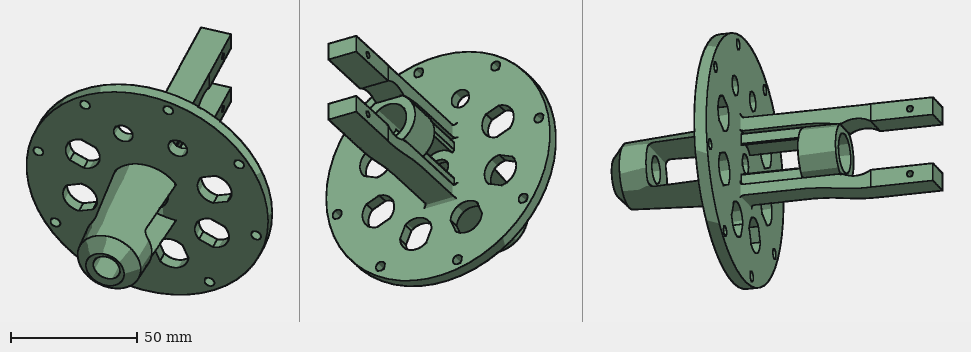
import cadquery as cq
import math


plate_diameter = 101.6
plate_thickness = 5.0
plate_front = -plate_thickness
rim_hole_count = 8
rim_hole_diameter = 4.1
rim_hole_radius = 46.6
rim_hole_start = 34.1
inner_hole_count = 8
inner_hole_radius = 30.0
inner_hole_start = 19.7
round_hole_diameter = 8.0
round_hole_places = (1, 2)
flatted_hole_diameter = 14.3
flatted_hole_width = 12.9
flat_turn = 3.0

axis_x = -0.7
axis_z = -1.26

nose_tip = -53.1
nose_base_radius = 15.8
nose_end_radius = 13.3
nose_tip_radius = 16.1 / 2
nose_chamfer_length = 4.9
nose_bore_diameter = 11.2
window_height = 18.6
window_end = -36.9
window_corner_radius = 2.5
bowl_floor_radius = 8.6
bowl_depth = plate_thickness / 2
centre_hole_diameter = 8.0

holder_diameter = 24.0
holder_bore = 16.1
holder_end = 41.2
ring_length = 15.7
rail_gap = 11.2
rail_chamfer = 1.0

arm_x = -1.2
tail_width = 12.6
tail_height = 7.3
tail_gap = 20.5
arm_end = 79.7
tail_length = 25.9
arm_relief = 0.07
relief_length = 2.4
bend_end = 26.5
upper_bottom_rise = 1.7
lower_top_rise = 1.2
lower_bottom_rise = 2.4
notch_diameter = 24.0
notch_y = 47.5
arm_fillet = 1.5
pin_hole_diameter = 2.5
pin_hole_y = 70.1
pin_hole_offset = 13.7

tail_start = arm_end - tail_length
arm_width = tail_width - 2 * arm_relief
relief_end = tail_start - relief_length
inner_level = tail_gap / 2
outer_level = inner_level + tail_height


def cylinder_y(diameter, y_start, y_end, x=0.0, z=0.0):
    """A cylinder along Y from y_start up to y_end."""
    return (
        cq.Workplane("XZ", origin=(x, y_end, z))
        .circle(diameter / 2)
        .extrude(y_end - y_start)
    )


def box_between(x_range, y_range, z_range):
    """A box given by its lower and upper limit along each axis."""
    lows, highs = zip(x_range, y_range, z_range)
    sizes = [high - low for low, high in zip(lows, highs)]
    return cq.Workplane("XY").box(*sizes, centered=False).translate(lows)


def flatted_hole(angle):
    """Cutter for a round hole with two flats, centred on the Y axis."""
    half_width = flatted_hole_width / 2
    reach = flatted_hole_diameter
    slab = box_between((-reach, reach), (plate_front, 0), (-half_width, half_width))
    slab = slab.rotate((0, 0, 0), (0, 1, 0), -angle)
    return cylinder_y(flatted_hole_diameter, plate_front, 0).intersect(slab)


def make_plate():
    """Round plate with its rim holes and the inner ring of holes."""
    plate = cylinder_y(plate_diameter, plate_front, 0)
    for i in range(rim_hole_count):
        angle = math.radians(rim_hole_start + i * 360 / rim_hole_count)
        x = rim_hole_radius * math.cos(angle)
        z = rim_hole_radius * math.sin(angle)
        plate = plate.cut(cylinder_y(rim_hole_diameter, plate_front, 0, x, z))
    for i in range(inner_hole_count):
        degrees = inner_hole_start + i * 360 / inner_hole_count
        x = inner_hole_radius * math.cos(math.radians(degrees))
        z = inner_hole_radius * math.sin(math.radians(degrees))
        if i in round_hole_places:
            cutter = cylinder_y(round_hole_diameter, plate_front, 0)
        else:
            cutter = flatted_hole(degrees + flat_turn)
        plate = plate.cut(cutter.translate((x, 0, z)))
    return plate


def make_nose():
    """Tapered nose with a chamfered tip, a bore and a window through it along X."""
    nose = (
        cq.Workplane("XY")
        .moveTo(0, plate_front)
        .lineTo(nose_base_radius, plate_front)
        .lineTo(nose_end_radius, nose_tip + nose_chamfer_length)
        .lineTo(nose_tip_radius, nose_tip)
        .lineTo(0, nose_tip)
        .close()
        .revolve(360, (0, 0, 0), (0, 1, 0))
        .translate((axis_x, 0, axis_z))
    )
    reach = 2 * nose_base_radius
    window = box_between(
        (axis_x - reach, axis_x + reach),
        (window_end, plate_front),
        (axis_z - window_height / 2, axis_z + window_height / 2),
    )
    window = window.edges("|X and <Y").fillet(window_corner_radius)
    bore = cylinder_y(nose_bore_diameter, nose_tip, window_end)
    return nose.cut(window).cut(bore)


def make_bowl():
    """Cutter for the rounded recess that the window opens in the plate's front face."""
    span = nose_base_radius - bowl_floor_radius
    round_radius = (span**2 + bowl_depth**2) / (2 * bowl_depth)
    middle_drop = round_radius - math.sqrt(round_radius**2 - (span / 2) ** 2)
    bowl = (
        cq.Workplane("XY")
        .moveTo(0, plate_front)
        .lineTo(nose_base_radius, plate_front)
        .threePointArc(
            (nose_base_radius - span / 2, plate_front + middle_drop),
            (bowl_floor_radius, plate_front + bowl_depth),
        )
        .lineTo(0, plate_front + bowl_depth)
        .close()
        .revolve(360, (0, 0, 0), (0, 1, 0))
    )
    slab = box_between(
        (-nose_base_radius, nose_base_radius),
        (plate_front, 0),
        (-window_height / 2, window_height / 2),
    )
    return bowl.intersect(slab).translate((axis_x, 0, axis_z))


def arm_solid(outline, width):
    """Extrude a closed YZ outline to a width centred on the arms' middle plane."""
    return outline.extrude(width / 2, both=True).translate((arm_x, 0, axis_z))


def make_tail(sign):
    """Straight end block of the upper (+1) or lower (-1) arm, with its pin hole."""
    outline = (
        cq.Workplane("YZ")
        .center((tail_start + arm_end) / 2, sign * (inner_level + outer_level) / 2)
        .rect(tail_length, tail_height)
    )
    pin_hole = (
        cq.Workplane("YZ")
        .center(pin_hole_y, sign * pin_hole_offset)
        .circle(pin_hole_diameter / 2)
    )
    return arm_solid(outline, tail_width).cut(arm_solid(pin_hole, tail_width))


def make_upper_arm():
    """Upper arm: flat top, underside bending up towards the plate."""
    top = outer_level - arm_relief
    outline = (
        cq.Workplane("YZ")
        .moveTo(tail_start, outer_level)
        .lineTo(relief_end, top)
        .lineTo(0, top)
        .lineTo(0, inner_level + upper_bottom_rise)
        .lineTo(bend_end, inner_level + upper_bottom_rise)
        .tangentArcPoint((holder_end, inner_level), relative=False)
        .lineTo(tail_start, inner_level)
        .close()
    )
    return arm_solid(outline, arm_width)


def make_lower_arm():
    """Lower arm: the top slopes up towards the plate, the bottom rises in an S."""
    outline = (
        cq.Workplane("YZ")
        .moveTo(tail_start, -inner_level)
        .lineTo(holder_end, -inner_level)
        .lineTo(bend_end, -inner_level + lower_top_rise)
        .lineTo(0, -inner_level + lower_top_rise)
        .lineTo(0, -outer_level + lower_bottom_rise)
        .lineTo(bend_end, -outer_level + lower_bottom_rise)
        .spline(
            [(relief_end, -outer_level)],
            tangents=[(1, 0), (1, 0)],
            includeCurrent=True,
        )
        .lineTo(tail_start, -outer_level)
        .close()
    )
    return arm_solid(outline, arm_width)


def fillet_arm_root(body, outer_z):
    """Round the outer edge and both side edges where an arm meets the plate."""
    z_low, z_high = sorted((axis_z, outer_z))
    margin = 0.1
    root = cq.selectors.BoxSelector(
        (arm_x - tail_width, -margin, z_low),
        (arm_x + tail_width, margin, z_high + margin),
    )
    inner_side = "<Z" if outer_z > axis_z else ">Z"
    root_edges = body.edges("%LINE").edges(root)
    inner_edge = root_edges.edges(inner_side).val()
    outer_edges = [edge for edge in root_edges.vals() if not edge.isSame(inner_edge)]
    return body.newObject(outer_edges).fillet(arm_fillet)


def make_frame():
    """Plate, nose and fork in one piece."""
    frame = make_plate().union(make_upper_arm()).union(make_lower_arm())
    frame = fillet_arm_root(frame, axis_z + outer_level)
    frame = fillet_arm_root(frame, axis_z - outer_level)
    for sign in (1, -1):
        frame = frame.union(make_tail(sign))
    notch = cq.Workplane("YZ").center(notch_y, 0).circle(notch_diameter / 2)
    seat = cylinder_y(holder_diameter, 0, holder_end, axis_x, axis_z)
    centre_hole = cylinder_y(centre_hole_diameter, plate_front, 0, axis_x, axis_z)
    frame = frame.cut(arm_solid(notch, tail_width)).cut(seat)
    return frame.union(make_nose()).cut(make_bowl()).cut(centre_hole)


def make_holder():
    """Ring carried by two rails, trimmed to the width of the arms."""
    tube = cylinder_y(holder_diameter, 0, holder_end)
    rail_end = holder_end - ring_length
    left = arm_x - arm_width / 2 - axis_x
    right = arm_x + arm_width / 2 - axis_x
    for x_range in ((-holder_diameter, left), (right, holder_diameter)):
        side = box_between(x_range, (0, rail_end), (-holder_diameter, holder_diameter))
        tube = tube.cut(side)
    half_gap = rail_gap / 2
    gap_corner = half_gap + rail_chamfer
    gap = (
        cq.Workplane("XZ", origin=(0, rail_end, 0))
        .moveTo(left, gap_corner)
        .lineTo(left + rail_chamfer, half_gap)
        .lineTo(right - rail_chamfer, half_gap)
        .lineTo(right, gap_corner)
        .lineTo(right, -gap_corner)
        .lineTo(right - rail_chamfer, -half_gap)
        .lineTo(left + rail_chamfer, -half_gap)
        .lineTo(left, -gap_corner)
        .close()
        .extrude(rail_end)
    )
    tube = tube.cut(gap).cut(cylinder_y(holder_bore, 0, holder_end))
    return tube.translate((axis_x, 0, axis_z))


frame = make_frame()
holder = make_holder()
result = cq.Compound.makeCompound([frame.val(), holder.val()])